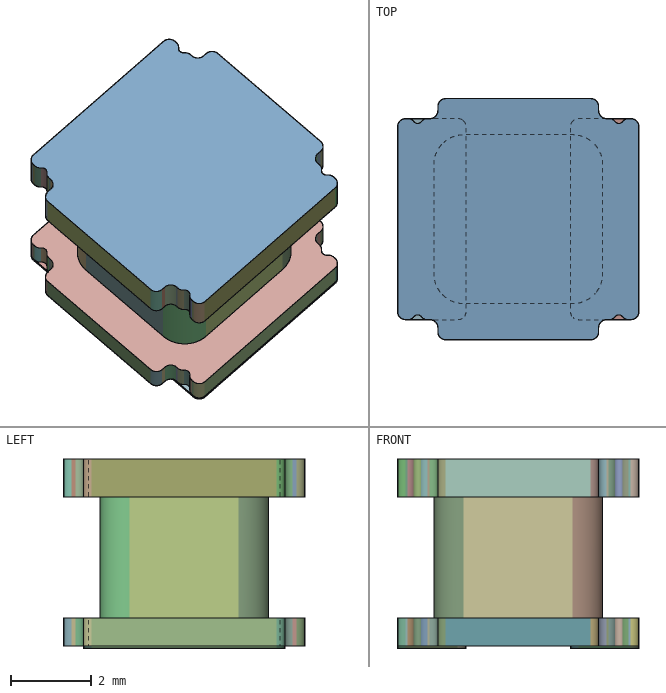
import cadquery as cq
import math

flange_width = 6.0
top_flange_thickness = 0.95
bottom_flange_thickness = 0.70
core_height = 3.0
core_width = 4.2
core_corner_radius = 0.75
pad_thickness = 0.06
pad_length = 1.7

step_x = 1.0
step_y = 0.5
corner_radius = 0.2

groove_radius = 0.12
groove_mouth_radius = 0.2

half_width = flange_width / 2
ledge_y = half_width - step_y
groove_x = half_width - step_x / 2
bottom_flange_z = pad_thickness
core_z = bottom_flange_z + bottom_flange_thickness
top_flange_z = core_z + core_height


def groove_cutter(thickness):
    """Groove opening toward +Y, centred on the ledge line at the origin, with rounded mouth edges."""
    centre_distance = groove_radius + groove_mouth_radius
    mouth_half_width = math.sqrt(centre_distance**2 - groove_mouth_radius**2)
    blend = groove_radius / centre_distance
    blend_x = mouth_half_width * blend
    blend_y = groove_mouth_radius * blend
    half_angle = math.atan2(mouth_half_width, groove_mouth_radius) / 2
    mouth_mid_x = mouth_half_width - groove_mouth_radius * math.sin(half_angle)
    mouth_mid_y = groove_mouth_radius * (math.cos(half_angle) - 1)
    return (
        cq.Workplane("XY")
        .moveTo(-mouth_half_width, 0)
        .threePointArc((-mouth_mid_x, mouth_mid_y), (-blend_x, -blend_y))
        .threePointArc((0, -groove_radius), (blend_x, -blend_y))
        .threePointArc((mouth_mid_x, mouth_mid_y), (mouth_half_width, 0))
        .close()
        .extrude(thickness)
    )


def make_flange(thickness, base_z):
    """Square plate with rounded steps at its corners and a groove in each ledge."""
    plate = cq.Workplane("XY").box(
        flange_width, 2 * ledge_y, thickness, centered=(True, True, False)
    )
    tongue = cq.Workplane("XY").box(
        flange_width - 2 * step_x, flange_width, thickness, centered=(True, True, False)
    )
    flange = plate.union(tongue).edges("|Z").fillet(corner_radius)
    for x in (-groove_x, groove_x):
        groove = groove_cutter(thickness).translate((x, ledge_y, 0))
        flange = flange.cut(groove).cut(groove.mirror("XZ"))
    return flange.translate((0, 0, base_z))


def make_core():
    """Rounded square post between the two flanges."""
    return (
        cq.Workplane("XY", origin=(0, 0, core_z))
        .rect(core_width, core_width)
        .extrude(core_height)
        .edges("|Z")
        .fillet(core_corner_radius)
    )


def make_pad(side):
    """Flat terminal under one X end of the bottom flange."""
    pad_x = side * (half_width - pad_length / 2)
    return (
        cq.Workplane("XY", origin=(pad_x, 0, 0))
        .rect(pad_length, 2 * ledge_y)
        .extrude(pad_thickness)
        .edges("|Z")
        .fillet(corner_radius)
    )


top_flange = make_flange(top_flange_thickness, top_flange_z)
bottom_flange = make_flange(bottom_flange_thickness, bottom_flange_z)
core = make_core()
pads = [make_pad(side) for side in (-1, 1)]

bodies = [top_flange, core, bottom_flange, *pads]
result = cq.Compound.makeCompound([body.solids().val() for body in bodies])